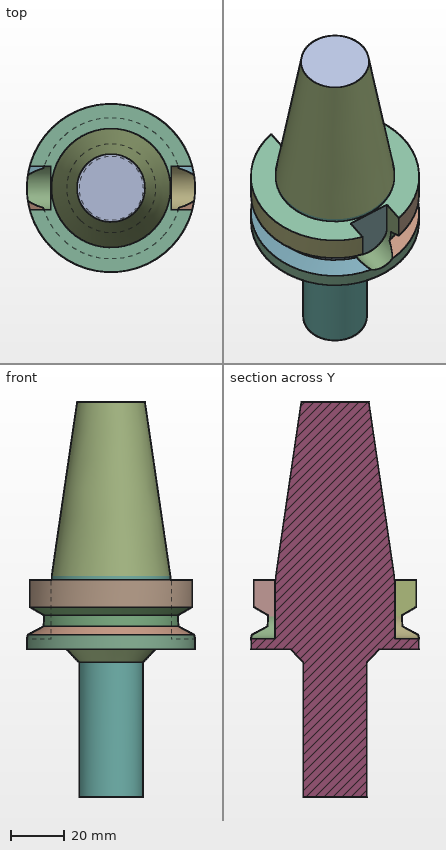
import cadquery as cq

total_height = 147.9
flange_bottom = 55.3
flange_height = 26.0
flange_top = flange_bottom + flange_height

shank_diameter = 24.0
neck_top_diameter = 33.3
neck_height = 4.9

flange_diameter = 63.0
groove_diameter = 52.8
lower_rim_height = 5.5
upper_rim_height = 10.2
groove_slope_height = 3.1

taper_large_diameter = 44.5
taper_small_diameter = 25.5
taper_collar_height = 1.3

slot_width = 16.4
slot_depth = 22.0
slot_floor_offset = 22.5


def make_body():
    """Revolve the half profile of shank, flange and taper about Z."""
    shank_radius = shank_diameter / 2
    flange_radius = flange_diameter / 2
    groove_radius = groove_diameter / 2
    taper_radius = taper_large_diameter / 2
    lower_rim_top = flange_bottom + lower_rim_height
    upper_rim_bottom = flange_top - upper_rim_height
    profile = [
        (0, 0),
        (shank_radius, 0),
        (shank_radius, flange_bottom - neck_height),
        (neck_top_diameter / 2, flange_bottom),
        (flange_radius, flange_bottom),
        (flange_radius, lower_rim_top),
        (groove_radius, lower_rim_top + groove_slope_height),
        (groove_radius, upper_rim_bottom - groove_slope_height),
        (flange_radius, upper_rim_bottom),
        (flange_radius, flange_top),
        (taper_radius, flange_top),
        (taper_radius, flange_top + taper_collar_height),
        (taper_small_diameter / 2, total_height),
        (0, total_height),
    ]
    return cq.Workplane("XZ").polyline(profile).close().revolve(360, (0, 0), (0, 1))


def make_slot_cutter(side):
    """Round-bottomed drive slot; side is -1 for -X and +1 for +X."""
    slot_radius = slot_width / 2
    slot_bottom = flange_top - slot_depth
    arc_center = slot_bottom + slot_radius
    cut_length = flange_diameter / 2 - slot_floor_offset
    return (
        cq.Workplane("YZ", origin=(side * slot_floor_offset, 0, 0))
        .moveTo(-slot_radius, flange_top)
        .lineTo(-slot_radius, arc_center)
        .threePointArc((0, slot_bottom), (slot_radius, arc_center))
        .lineTo(slot_radius, flange_top)
        .close()
        .extrude(side * cut_length)
    )


result = make_body()
for side in (-1, 1):
    result = result.cut(make_slot_cutter(side))